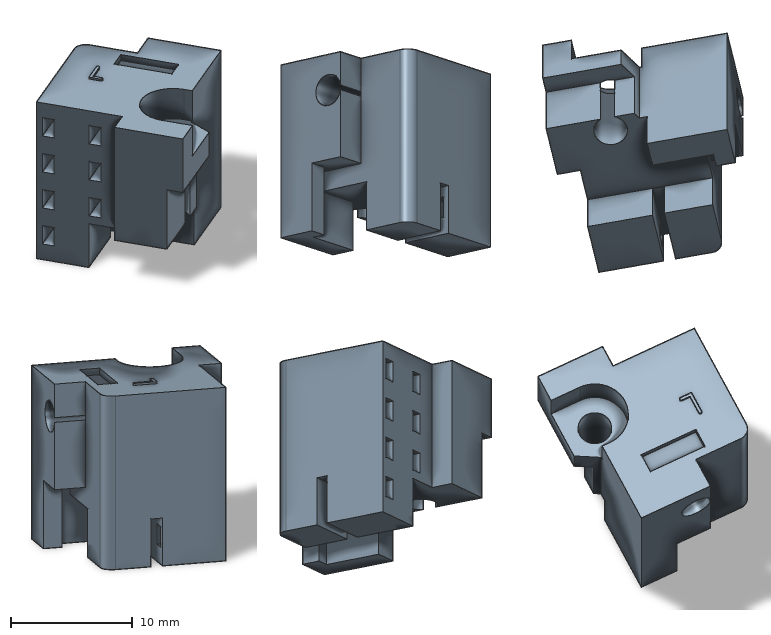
import cadquery as cq
import math

top_z = 14.75
body_underside_z = 4.12
tab_underside_z = 5.78
flange_underside_z = 9.71

total_x = 13.40
total_y = 15.07
screw_block_left_x = 7.46
screw_block_right_x = 12.00
body_front_y = 1.93
body_back_y = 12.42
tab_left_x = 5.13
tab_right_x = 11.47
body_corner_radius = 1.00

bevel_start_y = 7.70
bevel_angle = 30.0
bevel_end_y = bevel_start_y - (total_x - tab_right_x) * math.tan(math.radians(bevel_angle))

left_leg_width = 4.55
back_leg_left_x = 8.18
back_leg_length_y = 1.60
inner_leg_left_x = 9.32
slot_front_y = 7.37
slot_width = 1.00
slot_back_y = slot_front_y + slot_width
slot_height = 4.07

screw_x = 10.76
screw_y = 5.15
screw_hole_diameter = 2.75
screw_seat_diameter = 5.50
screw_seat_depth = 2.85

back_hole_diameter = 2.63
back_hole_x = 6.43
back_hole_z = 11.70

window_columns = ((0.52, 4), (4.58, 3))
window_width = 1.02
window_height = 1.72
window_pitch = 3.39
window_top_z = 13.36
window_depth = 6.00
window_end_y = body_front_y + window_depth

pocket_left_x = 3.93
pocket_front_y = 10.03
pocket_length = 5.02
pocket_width = 1.68
pocket_depth = 0.56

mark_left_x = 2.80
mark_front_y = 6.98
mark_length_x = 1.15
mark_length_y = 2.00
mark_line_width = 0.27
mark_height = 0.17


def box_between(x_min, x_max, y_min, y_max, z_min, z_max):
    """Box spanning the given limits."""
    size = (x_max - x_min, y_max - y_min, z_max - z_min)
    return cq.Workplane("XY").box(*size, centered=False).translate((x_min, y_min, z_min))


def make_upper_body():
    """Stepped block with the tab at the back and the flange on the right."""
    outline = [
        (0, body_front_y),
        (screw_block_left_x, body_front_y),
        (screw_block_left_x, 0),
        (total_x, 0),
        (total_x, bevel_end_y),
        (tab_right_x, bevel_start_y),
        (tab_right_x, total_y),
        (tab_left_x, total_y),
        (tab_left_x, body_back_y),
        (0, body_back_y),
    ]
    block = (
        cq.Workplane("XY")
        .workplane(offset=body_underside_z)
        .polyline(outline)
        .close()
        .extrude(top_z - body_underside_z)
    )
    below_flange = box_between(
        screw_block_right_x, total_x, 0, bevel_start_y, body_underside_z, flange_underside_z
    )
    below_tab = box_between(
        tab_left_x, tab_right_x, body_back_y, total_y, body_underside_z, tab_underside_z
    )
    return block.cut(below_flange).cut(below_tab)


def make_legs():
    """Left leg, plus the stepped leg at the back made of a wide and a narrow part."""
    back_leg_front_y = total_y - back_leg_length_y
    left_leg = box_between(0, left_leg_width, body_front_y, body_back_y, 0, body_underside_z)
    back_leg = box_between(
        back_leg_left_x, tab_right_x, back_leg_front_y, total_y, 0, tab_underside_z
    )
    inner_leg = box_between(
        inner_leg_left_x, tab_right_x, slot_back_y, back_leg_front_y, 0, tab_underside_z
    )
    return left_leg.union(back_leg).union(inner_leg)


def make_screw_cut():
    """Through hole and head seat; the seat is open towards the flange end."""
    seat_radius = screw_seat_diameter / 2
    seat_z = top_z - screw_seat_depth
    hole = cq.Workplane("XY").center(screw_x, screw_y).circle(screw_hole_diameter / 2).extrude(top_z)
    seat = (
        cq.Workplane("XY")
        .workplane(offset=seat_z)
        .center(screw_x, screw_y)
        .circle(seat_radius)
        .extrude(screw_seat_depth)
    )
    opening = box_between(
        screw_x, total_x, screw_y - seat_radius, screw_y + seat_radius, seat_z, top_z
    )
    return hole.union(seat).union(opening)


def make_back_hole():
    """Horizontal hole from the back, reaching the inner end of the top right window."""
    return (
        cq.Workplane("XZ", origin=(back_hole_x, total_y, back_hole_z))
        .circle(back_hole_diameter / 2)
        .extrude(total_y - window_end_y)
    )


def cut_windows(part):
    """Two columns of blind windows, counted down from the top."""
    for left_x, count in window_columns:
        for row in range(count):
            z_max = window_top_z - row * window_pitch
            z_min = z_max - window_height
            part = part.cut(
                box_between(left_x, left_x + window_width, body_front_y, window_end_y, z_min, z_max)
            )
    return part


def make_mark():
    """Angle-shaped mark with a rounded end on each arm."""
    half_line = mark_line_width / 2
    return (
        cq.Workplane("XY", origin=(mark_left_x, mark_front_y, top_z))
        .lineTo(mark_length_x - half_line, 0)
        .threePointArc((mark_length_x, half_line), (mark_length_x - half_line, mark_line_width))
        .lineTo(mark_line_width, mark_line_width)
        .lineTo(mark_line_width, mark_length_y - half_line)
        .threePointArc((half_line, mark_length_y), (0, mark_length_y - half_line))
        .close()
        .extrude(mark_height)
    )


slot = box_between(0, total_x, slot_front_y, slot_back_y, 0, slot_height)
pocket = box_between(
    pocket_left_x,
    pocket_left_x + pocket_length,
    pocket_front_y,
    pocket_front_y + pocket_width,
    top_z - pocket_depth,
    top_z,
)

body = make_upper_body().union(make_legs())
body = body.edges(cq.selectors.NearestToPointSelector((0, body_back_y, top_z / 2)))
body = body.fillet(body_corner_radius)
body = body.cut(slot).cut(pocket)
body = body.cut(make_screw_cut())
body = cut_windows(body)
body = body.cut(make_back_hole())
result = body.union(make_mark())